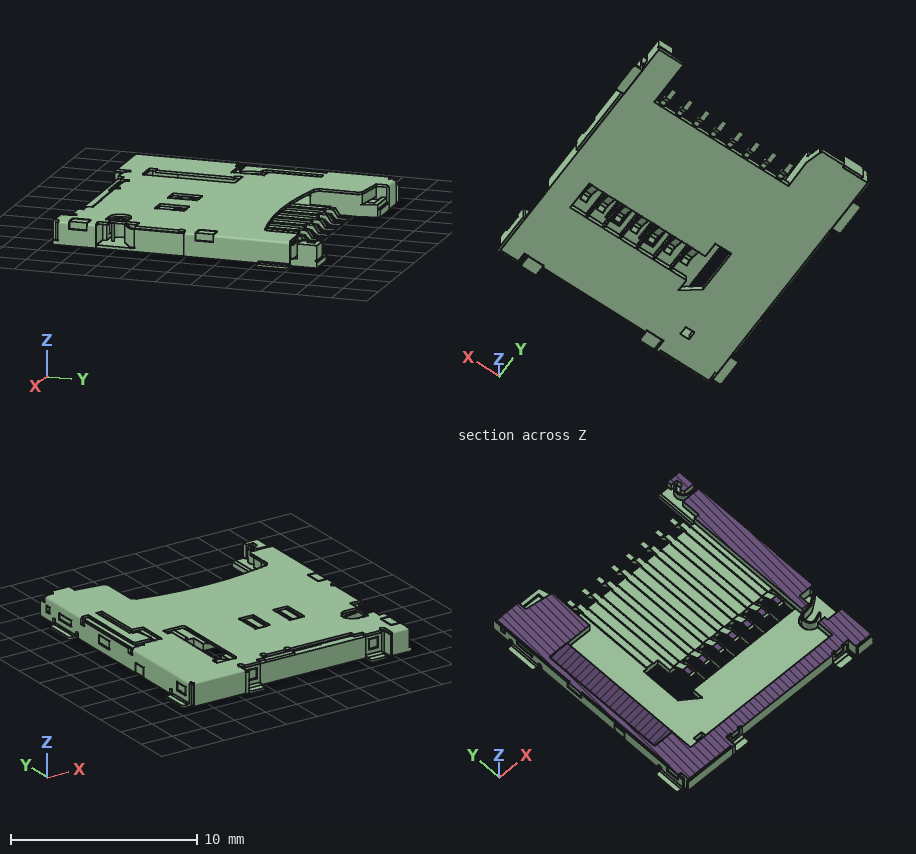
import cadquery as cq


TOP = 1.45
SHEET = 0.13
SHELL_UNDER = TOP - SHEET
WALL_BOTTOM = 0.07
HOUSING_BOTTOM = 0.05
DECK = 0.48
THROUGH = 2.99

HALF_WIDTH = 7.04
HALF_LENGTH = 7.48
INNER_X = HALF_WIDTH - SHEET
INNER_Y = HALF_LENGTH - SHEET
SIDE_BEND = 0.2
FRONT_BEND = 0.09
REAR_BEND = 0.2
SIDE_FRONT = -7.16
FLAP_LEFT = -6.92
LEFT_FLAP_END = -3.62
RIGHT_FLAP_END = 5.79
FRONT_FACE = -6.89

BAY_LEFT = -3.41
BAY_RIGHT = 5.35
BAY_CORNER_Y = 3.93
BAY_MIDDLE = (0.97, 3.48)
BAY_CORNER = 0.21
RIGHT_ARM_REAR = 5.97
REAR_FLAP = (-6.5, -5.28)
CORNER_NOTCH_Y = 7.03
CORNER_NOTCH_Z = 1.03
CORNER_FRONT_Y = -7.16
CORNER_FRONT_Z = 0.33

TABS = [(-3.3, -2.32), (4.45, 5.49)]
FOOT_THICKNESS = 0.15
FOOT_CORNER = 0.15
FOOT_BEND = 0.18
SIDE_FOOT_BEND = 0.1
FEET_SPAN = 14.94
FOOT_REACH_X = FEET_SPAN / 2
LEFT_FEET = [(3.98, 5.98), (-7.16, -5.47)]
RIGHT_FOOT = (4.2, 5.97)
TAB_SLOT_REAR = -6.58
RELIEF_WIDTH = 0.25
RELIEF_TOP = 0.4
LEFT_RELIEFS = [6.1, 3.87, -5.38]
TAB_WINDOW = 0.61
TAB_WINDOW_Z = (0.5, 1.12)

WALL_WINDOWS = [
    (6.56, 6.89, 0.52, 0.9),
    (4.44, 5.64, 0.52, 0.9),
    (0.69, 1.73, 0.52, 1.03),
    (-6.79, -5.94, 0.52, 1.03),
]
WALL_NOTCH = (-2.66, -1.87, 0.69)
EDGE_WINDOWS = [(0.61, 1.63), (-6.55, -5.53)]
EDGE_WINDOW_X = 6.32
EDGE_WINDOW_BOTTOM = 1.02
CONTACT_WINDOW = (0.93, -3.0, -1.36)

CONTACT_COUNT = 8
CONTACT_SPAN = 7.7
CONTACT_PITCH = CONTACT_SPAN / (CONTACT_COUNT - 1)
CONTACT_MIDDLE_X = 0.94
CONTACT_TAIL_WIDTH = 0.35
CONTACT_BEAM_WIDTH = 0.45
CONTACT_TIP_WIDTH = 0.42
CONTACT_THICKNESS = 0.13
CONTACT_RISE = 0.07
BEAM_TOP = DECK + CONTACT_RISE
BEAM_UNDER = BEAM_TOP - CONTACT_THICKNESS
CONTACT_XS = [
    CONTACT_MIDDLE_X + (i - (CONTACT_COUNT - 1) / 2) * CONTACT_PITCH for i in range(CONTACT_COUNT)
]
WINDOWED_CONTACTS = [CONTACT_XS[3], CONTACT_XS[5]]
DECK_REAR = 4.74
CONTACT_SHOULDER = 4.6
TAIL_END = RIGHT_ARM_REAR
TAIL_BEND = (5.45, 5.16)
TIP_END = -2.6
TIP_ROOT = -1.3
TIP_CREST = (-2.32, -2.11)
TIP_TOP = 0.97

SLIDER_X = (-6.55, -5.23)
SLIDER_Y = (-4.48, 3.59)
SLIDER_TOP = 1.25
SPRING_THICKNESS = 0.12
SPRING_TOP = 1.25
HOOK_BOTTOM = 0.24
HOOK_POCKET_LEFT = 5.88
CURL_CENTRE = (6.34, 6.56)
CURL_RADIUS = 0.48
CURL_END_X = 6.97

OPENING_REAR = -0.03
CHANNEL = (6.08, 6.77, -3.6, -2.87)
LOOP_X = (4.75, 6.0)
LOOP_Y = (-4.8, -3.6)
OPENING_FRONT = -5.02


def block(x0, x1, y0, y1, z0, z1):
    """Box between two corners."""
    return cq.Workplane("XY").box(x1 - x0, y1 - y0, z1 - z0, centered=False).translate((x0, y0, z0))


def prism(points, z0, z1):
    """Upright prism on a polygon."""
    return cq.Workplane("XY").workplane(offset=z0).polyline(points).close().extrude(z1 - z0)


def round_slot(x0, x1, y_front, y_rear, z0, z1):
    """Slot along Y with a half-round rear end."""
    radius = (x1 - x0) / 2
    return (
        cq.Workplane("XY").workplane(offset=z0)
        .moveTo(x0, y_front).lineTo(x0, y_rear - radius)
        .threePointArc((x0 + radius, y_rear), (x1, y_rear - radius))
        .lineTo(x1, y_front).close().extrude(z1 - z0)
    )


def loop_hole(z0, z1):
    """D-shaped hole around the hooked switch spring."""
    radius = (LOOP_Y[1] - LOOP_Y[0]) / 2
    return (
        cq.Workplane("XY").workplane(offset=z0)
        .moveTo(LOOP_X[1], LOOP_Y[0]).lineTo(LOOP_X[0] + radius, LOOP_Y[0])
        .threePointArc((LOOP_X[0], LOOP_Y[0] + radius), (LOOP_X[0] + radius, LOOP_Y[1]))
        .lineTo(LOOP_X[1], LOOP_Y[1]).close().extrude(z1 - z0)
    )


def shell_pan():
    """Inverted pan with bent edges, before anything is cut."""
    outer = block(-HALF_WIDTH, HALF_WIDTH, -HALF_LENGTH, HALF_LENGTH, WALL_BOTTOM, TOP)
    side_bends = outer.edges("|Y and >Z").fillet(SIDE_BEND)
    end_bends = outer.edges("|X and >Z and <Y").fillet(FRONT_BEND)
    end_bends = end_bends.edges("|X and >Z and >Y").fillet(REAR_BEND)
    pan = side_bends.intersect(end_bends)
    return pan.cut(block(-INNER_X, INNER_X, -INNER_Y, INNER_Y, 0, SHELL_UNDER))


def rear_cut():
    """Everything behind the shell's rear edge: arms, bay and rear flap."""
    rear = HALF_LENGTH + 0.15
    side = HALF_WIDTH + 0.15
    chamfer = 0.13
    return (
        cq.Workplane("XY")
        .moveTo(REAR_FLAP[1], rear).lineTo(REAR_FLAP[1], 6.75)
        .lineTo(-3.55, 6.53).lineTo(BAY_LEFT, 6.32)
        .lineTo(BAY_LEFT, BAY_CORNER_Y + BAY_CORNER)
        .lineTo(BAY_LEFT + BAY_CORNER, BAY_CORNER_Y)
        .threePointArc(BAY_MIDDLE, (BAY_RIGHT - BAY_CORNER, BAY_CORNER_Y))
        .lineTo(BAY_RIGHT, BAY_CORNER_Y + BAY_CORNER)
        .lineTo(BAY_RIGHT, RIGHT_ARM_REAR - chamfer)
        .lineTo(BAY_RIGHT + chamfer, RIGHT_ARM_REAR)
        .lineTo(side, RIGHT_ARM_REAR).lineTo(side, rear).close().extrude(THROUGH)
    )


def corner_cuts():
    """Open corners where two bent edges would meet."""
    rear_left = block(-THROUGH * 3, REAR_FLAP[0], CORNER_NOTCH_Y, THROUGH * 3, CORNER_NOTCH_Z, THROUGH)
    rear_flap_end = block(-INNER_X, REAR_FLAP[0], INNER_Y, THROUGH * 3, 0, THROUGH)
    front_left = block(-THROUGH * 3, FLAP_LEFT, -THROUGH * 3, SIDE_FRONT, 0, THROUGH)
    front_right = block(INNER_X, THROUGH * 3, -THROUGH * 3, CORNER_FRONT_Y, CORNER_FRONT_Z, THROUGH)
    return rear_left.union(rear_flap_end).union(front_left).union(front_right)


def front_cut():
    """Front recess between the flaps, slots beside the tabs and the stepped notch between them."""
    recess = block(LEFT_FLAP_END, RIGHT_FLAP_END, -THROUGH * 3, FRONT_FACE, 0, THROUGH)
    left_slot = round_slot(LEFT_FLAP_END, TABS[0][0], -HALF_LENGTH, TAB_SLOT_REAR, 0, THROUGH)
    right_slot = round_slot(TABS[1][1], RIGHT_FLAP_END, -HALF_LENGTH, TAB_SLOT_REAR, 0, THROUGH)
    shallow = block(TABS[0][1], TABS[1][0], -HALF_LENGTH, TAB_SLOT_REAR, 0, THROUGH)
    notch_left, notch_right, notch_rear = -1.81, 3.92, -6.28
    deep = block(notch_left, notch_right, -HALF_LENGTH, notch_rear, 0, THROUGH)
    cut = recess.union(left_slot).union(right_slot).union(shallow).union(deep)
    relief_width, relief_rear = 0.31, -6.04
    for left in (notch_left, -0.28):
        cut = cut.union(round_slot(left, left + relief_width, -HALF_LENGTH, relief_rear, 0, THROUGH))
    return cut


def tongue_gap():
    """Gap around the spring tongue above the slider; it also opens the left bend."""
    gap_rear = 3.48
    wall_top = 1.29
    gap = prism(
        [(-6.88, gap_rear), (-5.7, gap_rear), (-5.7, 0.54), (-5.02, 0.48), (-5.02, -1.38),
         (-6.28, -1.38), (-6.28, -1.55), (-6.88, -1.55)],
        wall_top - SHEET, THROUGH,
    )
    bend = block(-HALF_WIDTH - 0.15, -6.88, -1.55, gap_rear, wall_top, THROUGH)
    tongue = prism(
        [(-6.58, gap_rear), (-6.04, gap_rear), (-6.04, 0.27), (-5.92, 0.12), (-5.62, 0.09),
         (-5.41, -0.95), (-5.52, -1.06), (-6.49, -1.06), (-6.58, -0.97)],
        0, THROUGH,
    )
    relief_bottom = 1.02
    cut = gap.union(bend).cut(tongue)
    for y0, y1 in ((3.18, gap_rear), (-1.55, -1.2)):
        cut = cut.union(block(-HALF_WIDTH - 0.15, -INNER_X, y0, y1, relief_bottom, THROUGH))
    return cut


def card_window():
    """Long window with two small bays on its left side."""
    left, bay_left, right = -4.11, -4.37, -3.05
    front, rear, bay = -5.79, -0.52, 0.42
    corner = 0.18
    window = block(left, right, front, rear, SHEET, THROUGH).edges("|Z and >X").fillet(corner)
    for y0 in (front, rear - bay):
        window = window.union(block(bay_left, left, y0, y0 + bay, SHEET, THROUGH))
    return window


def switch_opening():
    """Opening in the top and right wall around the hooked switch spring."""
    side = HALF_WIDTH + 0.15
    edge = block(CHANNEL[1], side, OPENING_FRONT, OPENING_REAR, 0, THROUGH)
    relief_radius, relief_offset = 0.16, 0.21
    relief = cq.Workplane("XY").circle(relief_radius).extrude(THROUGH)
    relief = relief.translate((CHANNEL[1], OPENING_REAR - relief_offset, 0))
    channel = block(CHANNEL[0], side, CHANNEL[2], CHANNEL[3], 0, THROUGH)
    step = prism(
        [(6.15, CHANNEL[2]), (6.15, -4.48), (6.56, -4.48), (6.56, OPENING_FRONT),
         (side, OPENING_FRONT), (side, CHANNEL[2])],
        0, THROUGH,
    )
    return edge.union(relief).union(channel).union(step).union(loop_hole(0, THROUGH))


def wall_openings():
    """Latch windows, notch and foot reliefs in the left wall, and windows in the right bend."""
    x0, x1 = -HALF_WIDTH - 0.15, -INNER_X
    cut = block(x0, x1, WALL_NOTCH[0], WALL_NOTCH[1], 0, WALL_NOTCH[2])
    for y0, y1, z0, z1 in WALL_WINDOWS:
        cut = cut.union(block(x0, x1, y0, y1, z0, z1))
    for y in LEFT_RELIEFS:
        relief = block(x0, x1, y - RELIEF_WIDTH / 2, y + RELIEF_WIDTH / 2, 0, RELIEF_TOP)
        cut = cut.union(relief.faces(">Z").edges("|X").fillet(RELIEF_WIDTH / 3))
    for y0, y1 in EDGE_WINDOWS:
        cut = cut.union(block(EDGE_WINDOW_X, HALF_WIDTH + 0.15, y0, y1, EDGE_WINDOW_BOTTOM, THROUGH))
    return cut


def front_tab(x0, x1):
    """Tab bent down at the front, with a latch window and a solder foot."""
    upright = block(x0, x1, FRONT_FACE, FRONT_FACE + SHEET * 2, 0, TOP)
    upright = upright.edges("|X and >Z and <Y").fillet(SIDE_BEND)
    upright = upright.cut(block(x0, x1, FRONT_FACE + SHEET, FRONT_FACE + SHEET * 2, 0, SHELL_UNDER))
    middle = (x0 + x1) / 2
    half = TAB_WINDOW / 2
    window = block(
        middle - half, middle + half, FRONT_FACE, FRONT_FACE + SHEET, TAB_WINDOW_Z[0], TAB_WINDOW_Z[1]
    )
    foot = block(x0, x1, -HALF_LENGTH, FRONT_FACE + SHEET, 0, FOOT_THICKNESS)
    foot = foot.edges("|Z and <Y").fillet(FOOT_CORNER)
    bend_profile = [
        (FRONT_FACE, FOOT_THICKNESS),
        (FRONT_FACE - FOOT_BEND, FOOT_THICKNESS),
        (FRONT_FACE, FOOT_THICKNESS + FOOT_BEND / 2),
    ]
    bend = cq.Workplane("YZ").workplane(offset=x0).polyline(bend_profile).close().extrude(x1 - x0)
    return upright.cut(window).union(foot).union(bend)


def side_foot(side, y0, y1):
    """Solder foot bent outward from a side wall; side is -1 for left and 1 for right."""
    x0, x1 = sorted((side * INNER_X, side * FOOT_REACH_X))
    foot = block(x0, x1, y0, y1, 0, FOOT_THICKNESS)
    foot = foot.edges("|Z and " + ("<X" if side < 0 else ">X")).fillet(FOOT_CORNER)
    bend_profile = [
        (side * HALF_WIDTH, FOOT_THICKNESS),
        (side * (HALF_WIDTH + SIDE_FOOT_BEND), FOOT_THICKNESS),
        (side * HALF_WIDTH, FOOT_THICKNESS + SIDE_FOOT_BEND / 2),
    ]
    bend = cq.Workplane("XZ").workplane(offset=-y1).polyline(bend_profile).close().extrude(y1 - y0)
    return foot.union(bend)


def make_shell():
    shell = shell_pan().cut(rear_cut()).cut(corner_cuts()).cut(front_cut())
    shell = shell.cut(tongue_gap()).cut(card_window()).cut(switch_opening()).cut(wall_openings())
    width, y0, y1 = CONTACT_WINDOW
    for x in WINDOWED_CONTACTS:
        shell = shell.cut(block(x - width / 2, x + width / 2, y0, y1, 0, THROUGH))
    for x0, x1 in TABS:
        shell = shell.union(front_tab(x0, x1))
    for y0, y1 in LEFT_FEET:
        shell = shell.union(side_foot(-1, y0, y1))
    return shell.union(side_foot(1, *RIGHT_FOOT))


CAVITY_X = (SLIDER_X[1], BAY_RIGHT)
CAVITY_FRONT = -5.9
LEFT_ARM_FRONT = SLIDER_Y[1]
PLATFORM_LEFT = 5.28
PLATFORM_CHAMFER = 0.1
RAIL_LEFT = 5.68
CORNER_POST_TOP = 1.4
CARD_OPENING_REAR = -0.37
LOW_ARM_TOP = 0.75


def housing_block():
    """Solid outline of the moulding, with the card cavity left open at the rear."""
    tab_back = FRONT_FACE + SHEET
    body = block(-INNER_X, INNER_X, tab_back, DECK_REAR, HOUSING_BOTTOM, SHELL_UNDER)
    body = body.union(
        block(TABS[0][1], TABS[1][0], FRONT_FACE, tab_back, HOUSING_BOTTOM, SHELL_UNDER)
    )
    flap_left_end, flap_right_end = BAY_LEFT, 5.73
    for x0, x1 in ((FLAP_LEFT + SHEET, flap_left_end), (flap_right_end, INNER_X)):
        body = body.union(block(x0, x1, -INNER_Y, tab_back, HOUSING_BOTTOM, SHELL_UNDER))
    for x0, x1 in ((LEFT_FLAP_END, flap_left_end), (flap_right_end, RIGHT_FLAP_END)):
        body = body.union(block(x0, x1, -HALF_LENGTH, tab_back, HOUSING_BOTTOM, SHELL_UNDER))
    cavity = block(CAVITY_X[0], CAVITY_X[1], CAVITY_FRONT, DECK_REAR, DECK, SHELL_UNDER)
    return body.cut(cavity)


def left_arm():
    """Rear-left arm: slanted and lowered inner end, ledge, recess and raised corner post."""
    arm = prism(
        [(-INNER_X, LEFT_ARM_FRONT), (BAY_LEFT - 0.15, LEFT_ARM_FRONT), (-3.5, 6.43), (-3.75, INNER_Y),
         (-INNER_X, INNER_Y)],
        HOUSING_BOTTOM, SHELL_UNDER,
    )
    ledge = block(REAR_FLAP[1], -3.78, INNER_Y, HALF_LENGTH, HOUSING_BOTTOM, DECK)
    lowered = prism(
        [(REAR_FLAP[1], 6.75), (-3.55, 6.53), (BAY_LEFT, 6.28), (BAY_LEFT, HALF_LENGTH),
         (REAR_FLAP[1], HALF_LENGTH)],
        LOW_ARM_TOP, SHELL_UNDER,
    )
    recess = block(REAR_FLAP[1], -4.04, 6.43, 7.05, LOW_ARM_TOP - 0.15, LOW_ARM_TOP)
    post = block(-INNER_X, REAR_FLAP[0], CORNER_NOTCH_Y, INNER_Y, HOUSING_BOTTOM, CORNER_POST_TOP)
    return arm.union(ledge).cut(lowered).cut(recess).union(post)


def right_arm():
    """Rear-right arm: low platform with a tower around the curled switch spring."""
    platform = block(PLATFORM_LEFT, INNER_X, DECK_REAR, HALF_LENGTH, HOUSING_BOTTOM, DECK)
    platform = platform.edges(">Z and (<X or >Y)").chamfer(PLATFORM_CHAMFER)
    rail = block(RAIL_LEFT, INNER_X, DECK_REAR, RIGHT_ARM_REAR, DECK, SHELL_UNDER)
    tower = prism(
        [(5.97, HALF_LENGTH), (5.97, 7.15), (6.41, 7.15), (6.41, 6.79), (6.17, 6.67), (6.07, 6.53),
         (6.22, 6.35), (INNER_X, 6.35), (INNER_X, HALF_LENGTH)],
        DECK, SHELL_UNDER,
    )
    return platform.union(rail).union(tower)


def latches():
    """Raised pads inside the shell's wall, edge and tab windows."""
    pad = 0.1
    gap = 0.037
    pads = block(-INNER_X - pad, -INNER_X, WALL_NOTCH[0], WALL_NOTCH[1], WALL_BOTTOM, WALL_NOTCH[2] - gap)
    for y0, y1, z0, z1 in WALL_WINDOWS:
        pads = pads.union(block(-INNER_X - pad, -INNER_X, y0 + gap, y1 - gap, z0 + gap, z1 - gap))
    for y0, y1 in EDGE_WINDOWS:
        pads = pads.union(
            block(EDGE_WINDOW_X, INNER_X, y0, y1, EDGE_WINDOW_BOTTOM, SHELL_UNDER + pad)
        )
    back = FRONT_FACE + SHEET
    half = TAB_WINDOW / 2 - gap
    for x0, x1 in TABS:
        middle = (x0 + x1) / 2
        z0, z1 = TAB_WINDOW_Z
        pads = pads.union(block(middle - half, middle + half, back - pad, back, z0 + gap, z1 - gap))
    return pads


def front_groove():
    """Stepped shallow groove along the front wall's top, under the shell's notch."""
    depth = 0.09
    return prism(
        [(-1.81, -6.13), (-1.81, -6.64), (0.06, -6.64), (0.06, -6.46), (1.87, -6.46), (1.87, -6.38),
         (3.92, -6.38), (3.92, -6.13)],
        SHELL_UNDER - depth, SHELL_UNDER,
    )


def floor_openings():
    """Openings through the floor under the shell's windows."""
    width, front, _ = CONTACT_WINDOW
    margin = 0.06
    cut = prism(
        [(-3.36, CARD_OPENING_REAR), (-3.36, -3.02), (-2.32, -3.81), (-2.32, CARD_OPENING_REAR)],
        0, DECK,
    )
    cut = cut.union(block(-4.48, -3.92, CAVITY_FRONT, -5.4, 0, DECK))
    for x in CONTACT_XS[1:]:
        half = width / 2 + margin
        cut = cut.union(block(x - half, x + half, front - margin, TIP_ROOT, 0, DECK))
    return cut


def contact_base(x, beam_end):
    """Part of a contact that is moulded into the floor: stepped solder tail and flat beam."""
    t = CONTACT_THICKNESS
    low, high = BEAM_UNDER, BEAM_TOP
    tail = (
        cq.Workplane("YZ").workplane(offset=x - CONTACT_TAIL_WIDTH / 2)
        .polyline([(TAIL_END, 0), (TAIL_END, t), (TAIL_BEND[0], t), (TAIL_BEND[1], high),
                   (CONTACT_SHOULDER, high), (CONTACT_SHOULDER, low - t), (TAIL_BEND[1] - t, low - t),
                   (TAIL_BEND[0] - t, 0)])
        .close().extrude(CONTACT_TAIL_WIDTH)
    )
    half = CONTACT_BEAM_WIDTH / 2
    return tail.union(block(x - half, x + half, beam_end, CONTACT_SHOULDER, low, high))


def contact_tip(x):
    """Sprung end of a contact, rising over its floor opening to a flat crest."""
    t = CONTACT_THICKNESS
    low, high = BEAM_UNDER, BEAM_TOP
    return (
        cq.Workplane("YZ").workplane(offset=x - CONTACT_TIP_WIDTH / 2)
        .polyline([(TIP_ROOT + t, low), (TIP_ROOT + t, high), (TIP_ROOT, high), (TIP_CREST[1], TIP_TOP),
                   (TIP_CREST[0], TIP_TOP), (TIP_END, TIP_TOP - t), (TIP_END, TIP_TOP - 2 * t),
                   (TIP_CREST[0], TIP_TOP - t), (TIP_CREST[1], TIP_TOP - t), (TIP_ROOT, low)])
        .close().extrude(CONTACT_TIP_WIDTH)
    )


def make_housing():
    housing = housing_block().union(left_arm()).union(right_arm()).union(latches())
    housing = housing.cut(floor_openings())
    housing = housing.cut(block(*SLIDER_X, *SLIDER_Y, DECK, THROUGH))
    housing = housing.cut(loop_hole(HOOK_BOTTOM, THROUGH))
    housing = housing.cut(
        block(HOOK_POCKET_LEFT, HALF_WIDTH, OPENING_FRONT, CHANNEL[3], HOOK_BOTTOM, THROUGH)
    )
    housing = housing.cut(front_groove())
    housing = housing.union(contact_base(CONTACT_XS[0], CARD_OPENING_REAR))
    for x in CONTACT_XS[1:]:
        housing = housing.union(contact_base(x, TIP_ROOT)).union(contact_tip(x))
    return housing


def make_slider():
    return block(*SLIDER_X, *SLIDER_Y, DECK, SLIDER_TOP)


def make_curl_spring():
    """Strip on edge: a C-shaped curl with a straight leg along the shell's rear edge."""
    cx, cy = CURL_CENTRE
    half = SPRING_THICKNESS / 2
    curl = (
        cq.Workplane("XY").workplane(offset=DECK).moveTo(cx - 0.18, cy + 0.45)
        .threePointArc((cx - CURL_RADIUS, cy), (cx, cy - CURL_RADIUS)).lineTo(CURL_END_X, cy - CURL_RADIUS)
    )
    return curl.offset2D(half).extrude(SPRING_TOP - DECK)


def make_hook_spring():
    """Strip on edge: a leg from the channel that hooks round inside the D-shaped hole."""
    half = SPRING_THICKNESS / 2
    hook = (
        cq.Workplane("XY").workplane(offset=HOOK_BOTTOM)
        .moveTo(6.67, -2.96).lineTo(6.67, -3.17).lineTo(6.16, -3.53)
        .lineTo(5.89, -3.71).lineTo(5.38, -3.8)
        .threePointArc((4.95, -4.19), (5.32, -4.63)).lineTo(5.86, -4.43)
    )
    return hook.offset2D(half).extrude(SPRING_TOP - HOOK_BOTTOM)


shell = make_shell()
housing = make_housing()
slider = make_slider()
curl_spring = make_curl_spring()
hook_spring = make_hook_spring()

result = cq.Compound.makeCompound(
    [shell.val(), housing.val(), slider.val(), curl_spring.val(), hook_spring.val()]
)